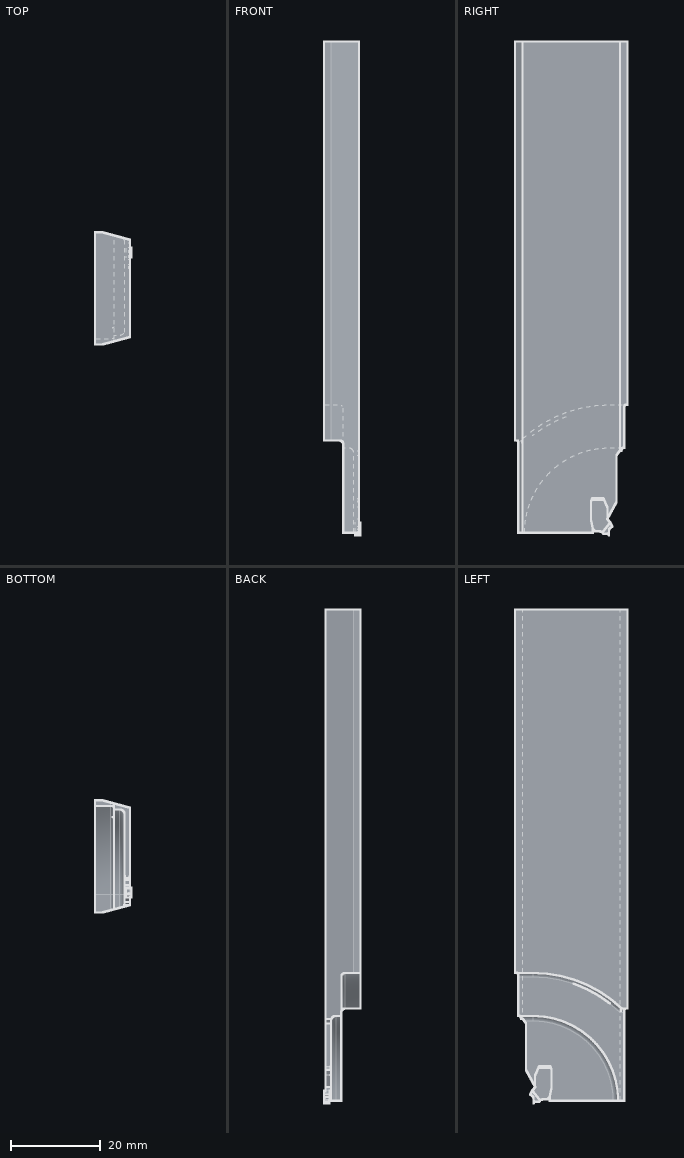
import cadquery as cq
import math

HEIGHT = 110.0
WIDTH = 25.1
TIP_FACE = 8.1

BAR_THICKNESS = 7.8
EDGE_STRIP = 1.5
FLANK_ANGLE = 15.0
HOLDER_BOTTOM = 0.5

ARC_CENTER_Y = 21.0
OUTER_RADIUS = 28.5
OUTER_FLOOR = 4.3
INNER_RADIUS = 18.9
BLADE_FLOOR = 6.6
OUTER_LEDGE_Z = 21.1
OUTER_FILLET = 0.9
INNER_FILLET = 1.1

BLADE_EDGE_Y = 22.7
RELIEF_TOP_Y = 23.3
RELIEF_TOP_Z = 18.8
RELIEF_SHOULDER_Z = 17.8
RELIEF_BEND_Z = 7.5

SEAT_FRONT_Y = 20.6
SEAT_MOUTH_Z = 3.6
SEAT_SHOULDER_Z = 6.3
SEAT_TOP_Z = 8.2
SEAT_TOP_GAP = 0.3
SEAT_TOP_FRONT_Y = 19.7
SEAT_TOP_BACK_Y = 17.3
SEAT_BACK_Y = 16.9
SEAT_BACK_TOP_Z = 7.6
SEAT_BACK_BOTTOM_Z = 3.4
HEEL_Y = 17.4
HEEL_Z = 1.3
INSERT_BOTTOM_Z = 0.9
INSERT_BOTTOM_BACK_Y = 17.8
INSERT_BOTTOM_FRONT_Y = 18.9
TIP_START_X = 6.9
TIP_HEEL = (19.5, 0.7)
TIP_TOP = (21.2, 2.9)

TIP_OUTLINE = [
    TIP_HEEL,
    (19.7, 0.3),
    (20.8, 0.3),
    (20.9, 0.0),
    (21.0, 1.4),
    (21.7, 2.0),
    TIP_TOP,
]

MARGIN = 2.2
PICK = 0.1


def plate(points, x_start, x_end):
    """Polygon of (Y, Z) points extruded between two X positions."""
    sketch = cq.Workplane("YZ").workplane(offset=x_start).polyline(points).close()
    return sketch.extrude(x_end - x_start)


def make_bar():
    drop = (BAR_THICKNESS - EDGE_STRIP) * math.tan(math.radians(FLANK_ANGLE))
    section = [
        (0, 0),
        (EDGE_STRIP, 0),
        (BAR_THICKNESS, drop),
        (BAR_THICKNESS, WIDTH - drop),
        (EDGE_STRIP, WIDTH),
        (0, WIDTH),
    ]
    bar = cq.Workplane("XY").workplane(offset=HOLDER_BOTTOM).polyline(section).close()
    return bar.extrude(HEIGHT - HOLDER_BOTTOM)


def arc_recess(radius, floor, fillet, arc_end_z, side_y):
    """Cutter with a round wall, a straight run to the +Y side and a filleted floor edge.

    The arc ends at arc_end_z; the outline then runs level to side_y and straight down.
    """
    top = HOLDER_BOTTOM + radius
    bottom = HOLDER_BOTTOM - MARGIN
    end_angle = math.asin((arc_end_z - HOLDER_BOTTOM) / radius)
    middle_angle = (end_angle + math.pi / 2) / 2

    def on_arc(angle):
        return (
            ARC_CENTER_Y - radius * math.cos(angle),
            HOLDER_BOTTOM + radius * math.sin(angle),
        )

    outline = (
        cq.Workplane("YZ")
        .workplane(offset=-MARGIN)
        .moveTo(WIDTH + MARGIN, bottom)
        .lineTo(WIDTH + MARGIN, top)
        .lineTo(ARC_CENTER_Y, top)
        .threePointArc(on_arc(middle_angle), on_arc(end_angle))
    )
    if side_y < on_arc(end_angle)[0]:
        outline = outline.lineTo(side_y, arc_end_z)
    cutter = outline.lineTo(side_y, bottom).close().extrude(floor + MARGIN)
    wall_foot = cq.selectors.BoxSelector(
        (floor - PICK, side_y + PICK, arc_end_z - PICK),
        (floor + PICK, WIDTH + MARGIN - PICK, top + PICK),
    )
    return cutter.edges(wall_foot).fillet(fillet)


def blade_relief():
    outside = WIDTH + MARGIN
    points = [
        (outside, RELIEF_TOP_Z),
        (RELIEF_TOP_Y, RELIEF_TOP_Z),
        (BLADE_EDGE_Y, RELIEF_SHOULDER_Z),
        (BLADE_EDGE_Y, RELIEF_BEND_Z),
        (SEAT_FRONT_Y, SEAT_MOUTH_Z),
        (outside, SEAT_MOUTH_Z),
    ]
    return plate(points, -MARGIN, BAR_THICKNESS + MARGIN)


def insert_seat():
    """Slot through the blade, open downwards and to the +Y side."""
    outside = WIDTH + MARGIN
    points = [
        (SEAT_FRONT_Y, SEAT_MOUTH_Z),
        (SEAT_FRONT_Y, SEAT_SHOULDER_Z),
        (SEAT_TOP_FRONT_Y, SEAT_TOP_Z),
        (SEAT_TOP_BACK_Y, SEAT_TOP_Z),
        (SEAT_BACK_Y, SEAT_BACK_TOP_Z),
        (SEAT_BACK_Y, SEAT_BACK_BOTTOM_Z),
        (HEEL_Y, HEEL_Z),
        (HEEL_Y, -MARGIN),
        (outside, -MARGIN),
        (outside, SEAT_MOUTH_Z),
    ]
    return plate(points, -MARGIN, BAR_THICKNESS + MARGIN)


def make_holder():
    holder = make_bar()
    outer = arc_recess(OUTER_RADIUS, OUTER_FLOOR, OUTER_FILLET, OUTER_LEDGE_Z, -MARGIN)
    inner_side_y = ARC_CENTER_Y - INNER_RADIUS
    inner = arc_recess(INNER_RADIUS, BLADE_FLOOR, INNER_FILLET, HOLDER_BOTTOM, inner_side_y)
    holder = holder.cut(outer).cut(inner)
    holder = holder.cut(blade_relief())
    return holder.cut(insert_seat())


def make_insert():
    body_points = [
        (SEAT_FRONT_Y, SEAT_MOUTH_Z),
        (SEAT_FRONT_Y, SEAT_SHOULDER_Z),
        (SEAT_TOP_FRONT_Y, SEAT_TOP_Z),
        (SEAT_TOP_BACK_Y, SEAT_TOP_Z),
        (SEAT_BACK_Y, SEAT_BACK_TOP_Z),
        (SEAT_BACK_Y, SEAT_BACK_BOTTOM_Z),
        (HEEL_Y, HEEL_Z),
        (INSERT_BOTTOM_BACK_Y, INSERT_BOTTOM_Z),
        (INSERT_BOTTOM_FRONT_Y, INSERT_BOTTOM_Z),
        TIP_HEEL,
        TIP_TOP,
    ]
    body = plate(body_points, BLADE_FLOOR, BAR_THICKNESS)
    gap_bottom = SEAT_TOP_Z - SEAT_TOP_GAP
    gap = plate(
        [
            (SEAT_BACK_Y, gap_bottom),
            (SEAT_FRONT_Y, gap_bottom),
            (SEAT_FRONT_Y, SEAT_TOP_Z),
            (SEAT_BACK_Y, SEAT_TOP_Z),
        ],
        BLADE_FLOOR,
        BAR_THICKNESS,
    )
    tip = plate(TIP_OUTLINE, TIP_START_X, TIP_FACE)
    return body.cut(gap).union(tip)


holder = make_holder()
insert = make_insert()
result = cq.Compound.makeCompound([holder.val(), insert.val()])